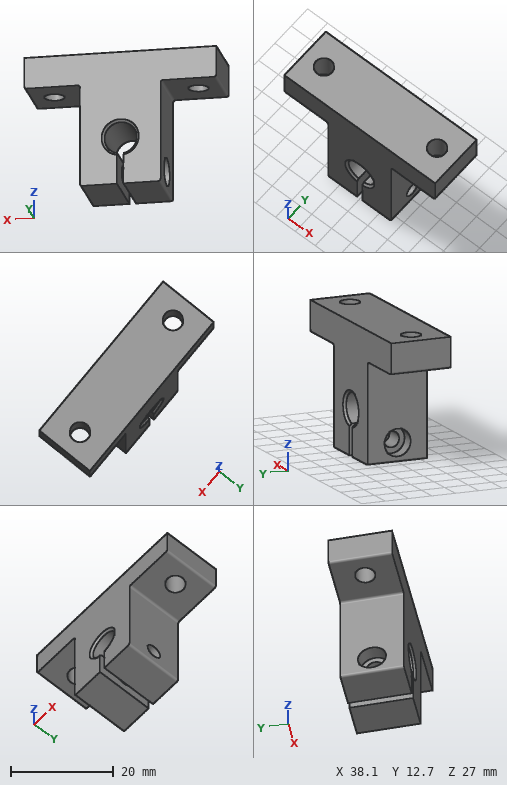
import cadquery as cq

length = 38.1
depth = 12.7
height = 27.0

flange_thickness = 6.32
stem_width = 16.0
corner_radius = 0.5
stem_height = height - flange_thickness

bore_diameter = 6.4
rim_diameter = 7.4
rim_chamfer = (rim_diameter - bore_diameter) / 2
bore_height = 9.52
slit_width = 1.3

mount_diameter = 3.95
mount_spacing = 28.58

screw_diameter = 3.28
screw_height = 3.92
counterbore_diameter = 5.6
counterbore_depth = 2.85


def centred_block(width, block_height, base_z):
    """Block of full depth, centred on X and Y, standing on base_z."""
    block = cq.Workplane("XY").box(width, depth, block_height, centered=(True, True, False))
    return block.translate((0, 0, base_z))


def make_body():
    """T profile with the lower outer corners and the inner corners rounded."""
    flange = centred_block(length, flange_thickness, stem_height)
    stem = centred_block(stem_width, stem_height, 0)
    body = flange.union(stem)
    below_top = cq.selectors.BoxSelector(
        (-length, -depth, -0.4), (length, depth, stem_height + corner_radius)
    )
    return body.edges("|Y").edges(below_top).fillet(corner_radius)


def make_bore():
    """Shaft bore along Y, widening in a cone at both faces."""
    bore_radius = bore_diameter / 2
    rim_radius = rim_diameter / 2
    half_depth = depth / 2
    cone_start = half_depth - rim_chamfer
    profile = [
        (0, -half_depth),
        (rim_radius, -half_depth),
        (bore_radius, -cone_start),
        (bore_radius, cone_start),
        (rim_radius, half_depth),
        (0, half_depth),
    ]
    bore = cq.Workplane("XY").polyline(profile).close().revolve(360, (0, 0, 0), (0, 1, 0))
    return bore.translate((0, 0, bore_height))


def make_mount_holes():
    """Two vertical through holes in the flange."""
    centres = [(-mount_spacing / 2, 0), (mount_spacing / 2, 0)]
    return cq.Workplane("XY").pushPoints(centres).circle(mount_diameter / 2).extrude(height)


def make_screw_hole():
    """Through hole along X with a counterbore entering from the -X side."""
    start = cq.Workplane("YZ", origin=(-stem_width / 2, 0, screw_height))
    through = start.circle(screw_diameter / 2).extrude(stem_width)
    counterbore = start.circle(counterbore_diameter / 2).extrude(counterbore_depth)
    return through.union(counterbore)


result = (
    make_body()
    .cut(make_bore())
    .cut(centred_block(slit_width, bore_height, 0))
    .cut(make_mount_holes())
    .cut(make_screw_hole())
)